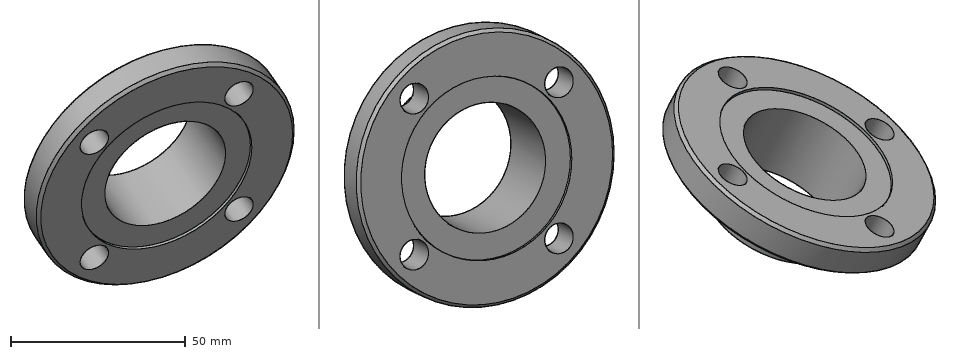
import cadquery as cq
import math

flange_diameter = 82.0
flange_thickness = 10.0
total_length = 24.0
hub_diameter = 42.4
bore_diameter = 38.4
recess_diameter = 54.1
recess_depth = 1.0

rim_chamfer = 1.0
hub_fillet = 4.0

bolt_count = 4
bolt_circle_diameter = 65.0
bolt_hole_diameter = 9.0
first_bolt_angle = 45.0


def make_flange():
    """Disc with both rim edges chamfered, from X = 0 towards -X."""
    disc = cq.Workplane("YZ").circle(flange_diameter / 2).extrude(-flange_thickness)
    return disc.edges().chamfer(rim_chamfer)


def add_hub(body):
    """Round neck on the -X face, blended into the flange."""
    neck = cq.Workplane("YZ").circle(hub_diameter / 2).extrude(-total_length)
    root = cq.selectors.BoxSelector(
        (-flange_thickness - rim_chamfer / 2, -hub_diameter, -hub_diameter),
        (-flange_thickness + rim_chamfer / 2, hub_diameter, hub_diameter),
    )
    hub_circle = cq.selectors.RadiusNthSelector(0)
    return body.union(neck).edges(root).edges(hub_circle).fillet(hub_fillet)


def cut_bore(body):
    bore = cq.Workplane("YZ").circle(bore_diameter / 2).extrude(-total_length)
    return body.cut(bore)


def cut_recess(body):
    """Shallow round recess around the bore in the +X face."""
    recess = cq.Workplane("YZ").circle(recess_diameter / 2).extrude(-recess_depth)
    return body.cut(recess)


def cut_bolt_holes(body):
    """Through holes evenly spaced on the bolt circle."""
    radius = bolt_circle_diameter / 2
    for index in range(bolt_count):
        angle = math.radians(first_bolt_angle + index * 360 / bolt_count)
        hole = (
            cq.Workplane("YZ")
            .center(radius * math.cos(angle), radius * math.sin(angle))
            .circle(bolt_hole_diameter / 2)
            .extrude(-flange_thickness)
        )
        body = body.cut(hole)
    return body


result = make_flange()
result = add_hub(result)
result = cut_bore(result)
result = cut_recess(result)
result = cut_bolt_holes(result)